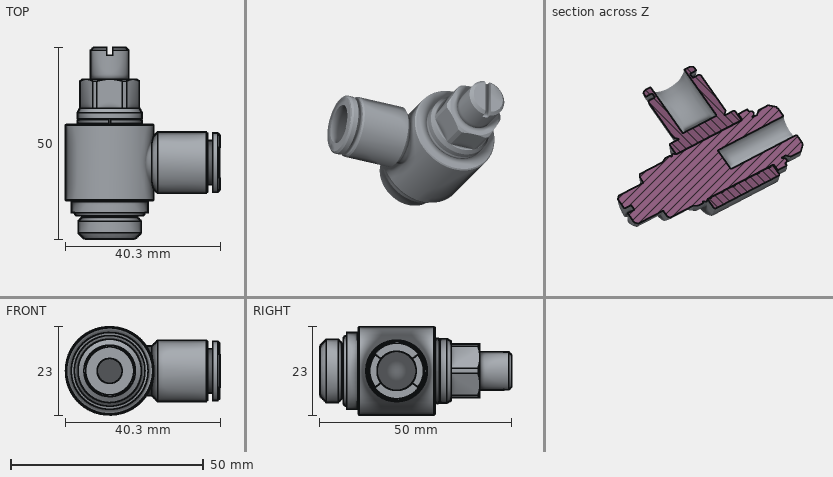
import cadquery as cq
import math


total_length = 50.0
thread_dia = 16.5
thread_end_y = 4.75
thread_lead_y = 1.7
neck_dia = 14.5
tip_dia = 12.5
tip_height = 0.15
inlet_dia = 6.5
inlet_depth = 20.0
flange_dia = 20.0
flange_y = 7.0
housing_gap = 0.15
seal_ring_radius = 8.3
seal_section_radius = 0.9
journal_dia = 16.0

clip_section_radius = 0.5
clip_gap = 0.5
clip_clearance = 0.1
collar_dia = 16.85
collar_y = 31.4
collar_chamfer_y = 33.0
hex_y = 34.2
hex_end_y = 41.7
hex_flats = 14.0
hex_corner_dia = 15.5
hex_chamfer_length = 0.5
screw_dia = 10.0
screw_chamfer = 0.8
slot_width = 1.5
slot_depth = 2.05

barrel_dia = 23.0
barrel_y = 10.0
barrel_length = 20.0
barrel_chamfer = 0.3
barrel_top_y = barrel_y + barrel_length
port_y = barrel_y + barrel_length / 2

port_neck_dia = 13.0
port_root_fillet = 0.35
port_dia = 16.0
port_cone_x = 11.0
port_cone_overlap = 1.0
port_body_x = port_cone_x + (port_dia - port_neck_dia) / 2
port_end_x = 25.5
port_end_chamfer = 0.4
release_shank_dia = 11.6
release_ring_dia = 15.5
release_ring_x = 26.8
release_face_x = 28.6
release_ring_chamfer = 0.5
port_tip_x = 28.75
lug_outer_dia = 14.0
lug_half_angle = 37.5
tube_bore_dia = 10.2


def revolve_about_y(points):
    """Turn (radius, y) points about the Y axis."""
    return cq.Workplane("XY").polyline(points).close().revolve(360, (0, 0), (0, 1))


def port_cylinder(diameter, start_x, end_x):
    """Round bar on the tube port axis."""
    plane = cq.Workplane("YZ", origin=(start_x, port_y, 0))
    return plane.circle(diameter / 2).extrude(end_x - start_x)


def ring_about_y(centre_radius, section_radius, y):
    """Ring of round cross-section about the Y axis."""
    plane = cq.Plane(origin=(centre_radius, y, 0), xDir=(-1, 0, 0), normal=(0, 0, 1))
    section = cq.Workplane(plane).circle(section_radius)
    return section.revolve(360, (centre_radius, 0), (centre_radius, 1))


def make_stem_core():
    thread_chamfer = (thread_dia - neck_dia) / 2
    lead_radius = thread_dia / 2 - (thread_lead_y - tip_height)
    screw_radius = screw_dia / 2
    return revolve_about_y([
        (0, 0),
        (tip_dia / 2, 0),
        (tip_dia / 2, tip_height),
        (lead_radius, tip_height),
        (thread_dia / 2, thread_lead_y),
        (thread_dia / 2, thread_end_y),
        (neck_dia / 2, thread_end_y + thread_chamfer),
        (neck_dia / 2, flange_y),
        (flange_dia / 2, flange_y),
        (flange_dia / 2, barrel_y - housing_gap),
        (journal_dia / 2, barrel_y - housing_gap),
        (journal_dia / 2, collar_y),
        (collar_dia / 2, collar_y),
        (collar_dia / 2, collar_chamfer_y),
        (hex_corner_dia / 2, hex_y),
        (screw_radius, hex_y),
        (screw_radius, total_length - screw_chamfer),
        (screw_radius - screw_chamfer, total_length),
        (0, total_length),
    ])


def make_hexagon():
    """Hexagon with rounded corners and a chamfered outer end, flats facing up and down."""
    corner_radius = hex_corner_dia / 2
    plane = cq.Workplane("XZ", origin=(0, hex_y, 0))
    prism = plane.polygon(6, hex_flats / math.cos(math.pi / 6)).extrude(hex_y - hex_end_y)
    envelope = revolve_about_y([
        (0, hex_y),
        (corner_radius, hex_y),
        (corner_radius, hex_end_y - hex_chamfer_length),
        (hex_flats / 2, hex_end_y),
        (0, hex_end_y),
    ])
    return prism.intersect(envelope)


def make_clip():
    """Open retaining ring next to the housing end, with its gap facing up."""
    clip_y = barrel_top_y + clip_clearance + clip_section_radius
    ring = ring_about_y(journal_dia / 2, clip_section_radius, clip_y)
    gap = cq.Workplane("XY", origin=(0, clip_y, 0)).box(
        clip_gap, 2 * clip_section_radius, journal_dia, centered=(True, True, False)
    )
    return ring.cut(gap)


def make_stem():
    seal = ring_about_y(seal_ring_radius, seal_section_radius, flange_y)
    inlet = cq.Workplane("XZ").circle(inlet_dia / 2).extrude(-inlet_depth)
    slot = cq.Workplane("XY").box(slot_width, slot_depth, screw_dia)
    slot = slot.translate((0, total_length - slot_depth / 2, 0))
    stem = make_stem_core().union(make_hexagon()).union(seal).union(make_clip())
    return stem.cut(inlet).cut(slot)


def make_grip_lugs():
    """Two low ring sectors on the release ring face, toward +Y and -Y."""
    plane = cq.Workplane("YZ", origin=(release_face_x, port_y, 0))
    reach = lug_outer_dia
    rise = reach * math.tan(math.radians(lug_half_angle))
    wedges = plane.polyline([(0, 0), (reach, rise), (reach, -rise)]).close()
    wedges = wedges.polyline([(0, 0), (-reach, rise), (-reach, -rise)]).close()
    wedges = wedges.extrude(port_tip_x - release_face_x)
    return wedges.intersect(port_cylinder(lug_outer_dia, release_face_x, port_tip_x))


def make_port():
    cone_start_x = port_cone_x - port_cone_overlap
    body = port_cylinder(port_dia, cone_start_x, port_end_x)
    body = body.faces("<X").chamfer(port_body_x - cone_start_x)
    body = body.faces(">X").chamfer(port_end_chamfer)
    shank = port_cylinder(release_shank_dia, port_end_x, release_ring_x)
    ring = port_cylinder(release_ring_dia, release_ring_x, release_face_x)
    ring = ring.faces(">X").chamfer(release_ring_chamfer)
    return body.union(shank).union(ring).union(make_grip_lugs())


def make_housing():
    barrel_plane = cq.Plane(origin=(0, barrel_y, 0), xDir=(-1, 0, 0), normal=(0, 1, 0))
    barrel = cq.Workplane(barrel_plane).circle(barrel_dia / 2).extrude(barrel_length)
    barrel = barrel.faces("<Y or >Y").chamfer(barrel_chamfer)
    housing = barrel.union(port_cylinder(port_neck_dia, 0, port_body_x))
    root = cq.selectors.BoxSelector(
        (0, port_y - port_neck_dia, -port_neck_dia),
        (barrel_dia / 2, port_y + port_neck_dia, port_neck_dia),
    )
    root_edge = housing.edges(root).edges("%BSPLINE")
    housing = root_edge.fillet(port_root_fillet)
    housing = housing.union(make_port())
    bore = cq.Workplane(barrel_plane).circle(journal_dia / 2).extrude(barrel_length)
    tube_bore = port_cylinder(tube_bore_dia, port_body_x, port_tip_x)
    return housing.cut(bore).cut(tube_bore)


stem = make_stem()
housing = make_housing()

result = cq.Compound.makeCompound([stem.solids().val(), housing.solids().val()])